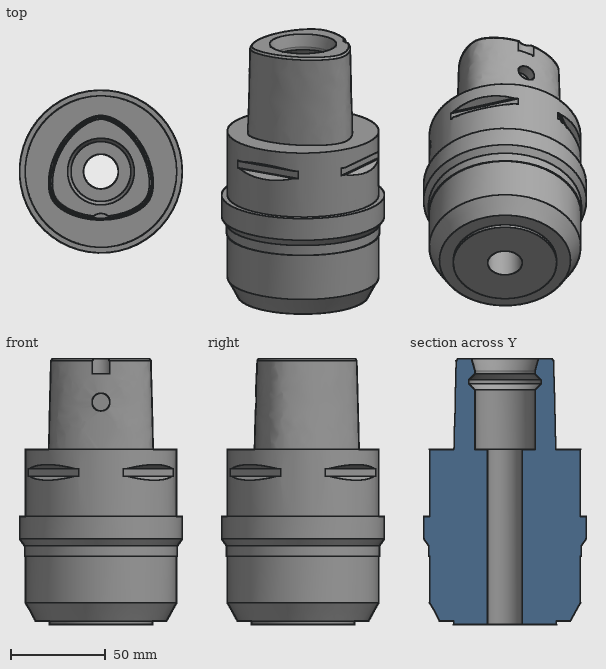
import cadquery as cq
import math

shank_height = 48.0
flange_top = -35.3
flange_bottom = -47.2
collar_top = -50.9
collar_bottom = -56.4
sleeve_bottom = -80.8
cone_bottom = -90.6
nose_bottom = -92.4

body_radius = 40.0
flange_radius = 43.0
collar_radius = 40.4
cone_end_radius = 34.6
nose_radius = 27.3

shank_base_radius = 27.65
shank_taper = 1 / 40
lobe_count = 3
lobe_height = 2.0
outline_points = 36
shank_chamfer_height = 1.3
shank_chamfer_width = 0.9

mouth_radius = 17.6
bore_radius = 15.8
groove_radius = 19.0
mouth_depth = 6.4
groove_top_depth = 8.1
groove_bottom_depth = 16.6
bore_depth = shank_height
through_radius = 9.1

notch_radius = 5.9
notch_depth = 8.0
notch_inner_y = -22.1
radial_hole_diameter = 9.4
radial_hole_depth = 23.0
radial_hole_floor_y = -19.0

slot_count = 4
slot_first_angle = 45.0
slot_center_z = -12.1
slot_floor_distance = 35.3
slot_straight_distance = 36.3
slot_mouth_distance = 41.0
slot_floor_height = 4.0
slot_wall_angle = 30.0


def revolved(profile):
    """Full turn about Z of a closed (radius, height) profile."""
    return cq.Workplane("XZ").polyline(profile).close().revolve(360, (0, 0), (0, 1))


def turned_body():
    """Clamping body with flange, collar, tapered end and nose."""
    profile = [
        (0, 0),
        (body_radius, 0),
        (body_radius, flange_top),
        (flange_radius, flange_top),
        (flange_radius, flange_bottom),
        (collar_radius, collar_top),
        (collar_radius, collar_bottom),
        (body_radius, collar_bottom),
        (body_radius, sleeve_bottom),
        (cone_end_radius, cone_bottom),
        (nose_radius, cone_bottom),
        (nose_radius, nose_bottom),
        (0, nose_bottom),
    ]
    return revolved(profile)


def lobed_wire(mean_radius, z):
    """Constant-width outline with three lobes, one of them pointing to +Y."""
    points = []
    for index in range(outline_points):
        angle = 2 * math.pi * index / outline_points - math.pi / 2
        reach = mean_radius - lobe_height * math.sin(lobe_count * angle)
        slope = -lobe_count * lobe_height * math.cos(lobe_count * angle)
        x = reach * math.cos(angle) - slope * math.sin(angle)
        y = reach * math.sin(angle) + slope * math.cos(angle)
        points.append(cq.Vector(x, y, z))
    return cq.Wire.assembleEdges([cq.Edge.makeSpline(points, periodic=True)])


def shank():
    """Tapered lobed shank, chamfered at its free end."""
    chamfer_z = shank_height - shank_chamfer_height
    upper_radius = shank_base_radius - shank_taper * chamfer_z
    base = lobed_wire(shank_base_radius, 0)
    upper = lobed_wire(upper_radius, chamfer_z)
    end = lobed_wire(upper_radius - shank_chamfer_width, shank_height)
    taper = cq.Solid.makeLoft([base, upper], True)
    chamfer = cq.Solid.makeLoft([upper, end], True)
    return cq.Workplane(taper.fuse(chamfer))


def bore():
    """Conical mouth, undercut groove with 45 degree flanks, and through hole."""
    flank = groove_radius - bore_radius
    profile = [
        (0, shank_height),
        (mouth_radius, shank_height),
        (bore_radius, shank_height - mouth_depth),
        (bore_radius, shank_height - groove_top_depth),
        (groove_radius, shank_height - groove_top_depth - flank),
        (groove_radius, shank_height - groove_bottom_depth + flank),
        (bore_radius, shank_height - groove_bottom_depth),
        (bore_radius, shank_height - bore_depth),
        (through_radius, shank_height - bore_depth),
        (through_radius, nose_bottom),
        (0, nose_bottom),
    ]
    return revolved(profile)


def orientation_notch():
    """Round-backed notch in the end edge of the shank."""
    return (
        cq.Workplane("XY", origin=(0, notch_inner_y - notch_radius, shank_height - notch_depth))
        .circle(notch_radius)
        .extrude(notch_depth)
    )


def radial_hole():
    """Blind hole into the side of the shank."""
    return (
        cq.Workplane("XZ", origin=(0, radial_hole_floor_y, shank_height - radial_hole_depth))
        .circle(radial_hole_diameter / 2)
        .extrude(body_radius + radial_hole_floor_y)
    )


def gripper_slot(angle):
    """Slot cut straight across the body: a shallow square bottom under sloping walls."""
    floor_half = slot_floor_height / 2
    flare = (slot_mouth_distance - slot_straight_distance) * math.tan(math.radians(slot_wall_angle))
    mouth_half = floor_half + flare
    profile = [
        (slot_floor_distance, slot_center_z - floor_half),
        (slot_straight_distance, slot_center_z - floor_half),
        (slot_mouth_distance, slot_center_z - mouth_half),
        (slot_mouth_distance, slot_center_z + mouth_half),
        (slot_straight_distance, slot_center_z + floor_half),
        (slot_floor_distance, slot_center_z + floor_half),
    ]
    slot = cq.Workplane("XZ").polyline(profile).close().extrude(body_radius, both=True)
    return slot.rotate((0, 0, 0), (0, 0, 1), angle)


result = turned_body().union(shank())
result = result.cut(bore()).cut(orientation_notch()).cut(radial_hole())
for index in range(slot_count):
    result = result.cut(gripper_slot(slot_first_angle + index * 360 / slot_count))